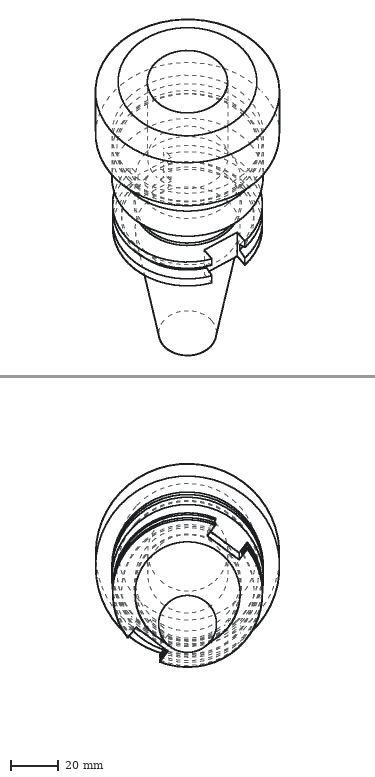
import cadquery as cq

total_height = 169.8
gauge_z = 68.5
shank_radius = 22.3
taper_ratio = 7 / 24
tip_radius = shank_radius - gauge_z * taper_ratio / 2

flange_radius = 31.8
flange_bottom = 71.3
flange_top = 87.5
flange_groove_radius = 28.0
flange_groove_bottom = 76.1
flange_groove_floor_bottom = 77.5
flange_groove_floor_top = 81.2
flange_groove_top = 83.2

flare_radius = 22.8
flare_top = 88.5

collar_radius = 32.1
collar_bottom = 105.3
collar_groove_depth = 2.0
collar_groove_radius = collar_radius - collar_groove_depth
collar_groove_bottom = 122.3
collar_groove_top = 128.7

nut_radius = 38.98
nut_bottom = 134.5
nut_face_radius = 29.4
nut_chamfer_start = 163.5
bore_radius = 17.0
bore_depth = 51.0

slot_width = 17.0
slot_floor_distance = 24.8
hole_diameter = 9.9
hole_depth = 5.1


def make_body():
    """Revolve the outer half-profile, given as (radius, Z), about the Z axis."""
    profile = [
        (0, 0),
        (tip_radius, 0),
        (shank_radius, gauge_z),
        (shank_radius, flange_bottom),
        (flange_radius, flange_bottom),
        (flange_radius, flange_groove_bottom),
        (flange_groove_radius, flange_groove_floor_bottom),
        (flange_groove_radius, flange_groove_floor_top),
        (flange_radius, flange_groove_top),
        (flange_radius, flange_top),
        (flare_radius, flange_top),
        (shank_radius, flare_top),
        (shank_radius, collar_bottom),
        (collar_radius, collar_bottom),
        (collar_radius, collar_groove_bottom),
        (collar_groove_radius, collar_groove_bottom + collar_groove_depth),
        (collar_groove_radius, collar_groove_top - collar_groove_depth),
        (collar_radius, collar_groove_top),
        (collar_radius, nut_bottom),
        (nut_radius, nut_bottom),
        (nut_radius, nut_chamfer_start),
        (nut_face_radius, total_height),
        (0, total_height),
    ]
    return cq.Workplane("XZ").polyline(profile).close().revolve(360, (0, 0), (0, 1))


def make_bore():
    """Blind collet bore, cut down from the nut face."""
    return cq.Workplane("XY").workplane(offset=total_height).circle(bore_radius).extrude(-bore_depth)


def make_drive_slot(side):
    """Slot through the flange height; side is -1 or +1 along X."""
    slot_depth = flange_radius - slot_floor_distance
    slot_center_x = side * (slot_floor_distance + slot_depth / 2)
    return (
        cq.Workplane("XY")
        .workplane(offset=flange_bottom)
        .center(slot_center_x, 0)
        .rect(slot_depth, slot_width)
        .extrude(flange_top - flange_bottom)
    )


def make_slot_hole():
    """Blind round hole in the floor of the -X drive slot."""
    return (
        cq.Workplane("YZ")
        .workplane(offset=-slot_floor_distance)
        .center(0, (flange_bottom + flange_top) / 2)
        .circle(hole_diameter / 2)
        .extrude(hole_depth)
    )


result = make_body().cut(make_bore()).cut(make_slot_hole())
for side in (-1, 1):
    result = result.cut(make_drive_slot(side))